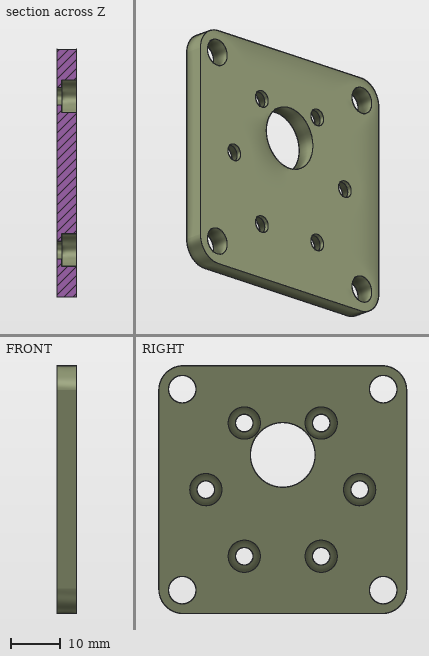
import cadquery as cq

plate_side = 50.0
plate_thickness = 4.0
corner_radius = 5.0

corner_hole_spacing = 40.5
corner_hole_diameter = 5.5

shaft_hole_diameter = 13.0
shaft_hole_offset = 7.0

screw_hole_count = 6
screw_circle_radius = 15.5
screw_hole_diameter = 3.5
counterbore_diameter = 6.5
screw_seat_thickness = 1.0

plate = (
    cq.Workplane("YZ")
    .rect(plate_side, plate_side)
    .extrude(plate_thickness)
    .edges("|X")
    .fillet(corner_radius)
)

corner_holes = (
    cq.Workplane("YZ")
    .rect(corner_hole_spacing, corner_hole_spacing, forConstruction=True)
    .vertices()
    .circle(corner_hole_diameter / 2)
    .extrude(plate_thickness)
)

shaft_hole = (
    cq.Workplane("YZ")
    .center(0, shaft_hole_offset)
    .circle(shaft_hole_diameter / 2)
    .extrude(plate_thickness)
)

screw_holes = (
    cq.Workplane("YZ")
    .polarArray(screw_circle_radius, 0, 360, screw_hole_count)
    .circle(screw_hole_diameter / 2)
    .extrude(plate_thickness)
)


counterbores = (
    cq.Workplane("YZ", origin=(screw_seat_thickness, 0, 0))
    .polarArray(screw_circle_radius, 0, 360, screw_hole_count)
    .circle(counterbore_diameter / 2)
    .extrude(plate_thickness - screw_seat_thickness)
)

result = (
    plate.cut(corner_holes)
    .cut(shaft_hole)
    .cut(screw_holes)
    .cut(counterbores)
    .translate((-plate_thickness / 2, 0, 0))
)